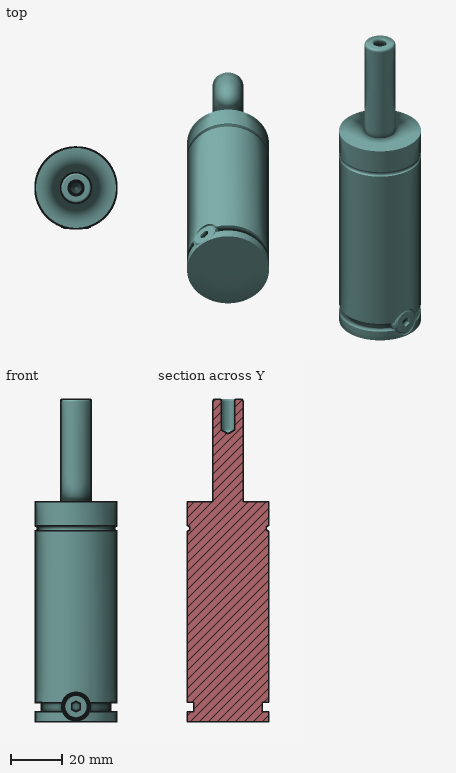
import cadquery as cq
import math

BODY_DIAMETER = 32.0
BODY_RADIUS = BODY_DIAMETER / 2
BODY_HEIGHT = 86.0

FOOT_FLANGE_HEIGHT = 4.0
CLAMP_GROOVE_WIDTH = 3.5
CLAMP_GROOVE_DIAMETER = 27.0

ROUND_GROOVE_RADIUS = 1.0
ROUND_GROOVE_Z = 75.5

ROD_DIAMETER = 12.0
ROD_STROKE = 40.0
ROD_TOP_Z = BODY_HEIGHT + ROD_STROKE
ROD_EDGE_RADIUS = 1.0

ROD_HOLE_DIAMETER = 5.0
ROD_HOLE_DEPTH = 12.0
ROD_HOLE_MOUTH_DIAMETER = 6.0
DRILL_POINT_ANGLE = 118.0

PORT_Z = 6.0
PORT_BOSS_DIAMETER = 11.0
PORT_BOSS_RADIUS = PORT_BOSS_DIAMETER / 2
PORT_RIM_Y = -15.4
PLUG_DIAMETER = 10.0
PLUG_RADIUS = PLUG_DIAMETER / 2
PLUG_CHAMFER = 0.5
PLUG_FACE_Y = -15.7
PLUG_SOCKET_ACROSS_FLATS = 3.5
PLUG_SOCKET_DEPTH = 2.0


def cylinder(radius, bottom_z, top_z):
    """Cylinder on the Z axis between two heights."""
    return cq.Workplane("XY").workplane(offset=bottom_z).circle(radius).extrude(top_z - bottom_z)


def port_cylinder(radius, outer_y, inner_y):
    """Cylinder on the port axis, running from outer_y inwards to inner_y."""
    plane = cq.Plane(origin=(0, outer_y, PORT_Z), xDir=(1, 0, 0), normal=(0, 1, 0))
    return cq.Workplane(plane).circle(radius).extrude(inner_y - outer_y)


def make_body():
    """Plain cylinder with the half-round groove under its cap."""
    groove = (
        cq.Workplane("XZ")
        .center(BODY_RADIUS, ROUND_GROOVE_Z)
        .circle(ROUND_GROOVE_RADIUS)
        .revolve(360, (-BODY_RADIUS, 0), (-BODY_RADIUS, 1))
    )
    return cylinder(BODY_RADIUS, 0, BODY_HEIGHT).cut(groove)


def make_clamp_groove():
    """Ring to remove for the clamping groove."""
    groove_top = FOOT_FLANGE_HEIGHT + CLAMP_GROOVE_WIDTH
    return cylinder(BODY_RADIUS, FOOT_FLANGE_HEIGHT, groove_top).cut(
        cylinder(CLAMP_GROOVE_DIAMETER / 2, FOOT_FLANGE_HEIGHT, groove_top)
    )


def make_port_recess():
    """Round recess that leaves the chamfered plug face inside a countersunk port rim."""
    countersink_depth = PORT_BOSS_RADIUS - PLUG_RADIUS
    return (
        cq.Workplane("XY", origin=(0, 0, PORT_Z))
        .moveTo(0, -BODY_RADIUS)
        .lineTo(PORT_BOSS_RADIUS, -BODY_RADIUS)
        .lineTo(PORT_BOSS_RADIUS, PORT_RIM_Y)
        .lineTo(PLUG_RADIUS, PORT_RIM_Y + countersink_depth)
        .lineTo(PLUG_RADIUS, PLUG_FACE_Y + PLUG_CHAMFER)
        .lineTo(PLUG_RADIUS - PLUG_CHAMFER, PLUG_FACE_Y)
        .lineTo(0, PLUG_FACE_Y)
        .close()
        .revolve(360, (0, 0), (0, 1))
    )


def make_plug_socket():
    """Hexagon socket in the plug face, with points up and down."""
    across_corners = PLUG_SOCKET_ACROSS_FLATS / math.cos(math.pi / 6)
    plane = cq.Plane(origin=(0, PLUG_FACE_Y, PORT_Z), xDir=(0, 0, 1), normal=(0, 1, 0))
    return cq.Workplane(plane).polygon(6, across_corners).extrude(PLUG_SOCKET_DEPTH)


def make_rod():
    """Piston rod with a rounded end edge."""
    rod = cylinder(ROD_DIAMETER / 2, 0, ROD_TOP_Z)
    return rod.faces(">Z").edges().fillet(ROD_EDGE_RADIUS)


def make_rod_hole():
    """Drilled hole with a 45 degree mouth and a conical bottom."""
    hole_radius = ROD_HOLE_DIAMETER / 2
    mouth_radius = ROD_HOLE_MOUTH_DIAMETER / 2
    mouth_depth = mouth_radius - hole_radius
    point_depth = hole_radius / math.tan(math.radians(DRILL_POINT_ANGLE / 2))
    shoulder_z = ROD_TOP_Z - ROD_HOLE_DEPTH
    return (
        cq.Workplane("XZ")
        .moveTo(0, ROD_TOP_Z)
        .lineTo(mouth_radius, ROD_TOP_Z)
        .lineTo(hole_radius, ROD_TOP_Z - mouth_depth)
        .lineTo(hole_radius, shoulder_z)
        .lineTo(0, shoulder_z - point_depth)
        .close()
        .revolve(360, (0, 0), (0, 1))
    )


port_boss = port_cylinder(PORT_BOSS_RADIUS, -BODY_RADIUS, 0)
body = make_body().cut(make_clamp_groove()).union(port_boss)
body = body.cut(make_port_recess()).cut(make_plug_socket())
result = body.union(make_rod()).cut(make_rod_hole())